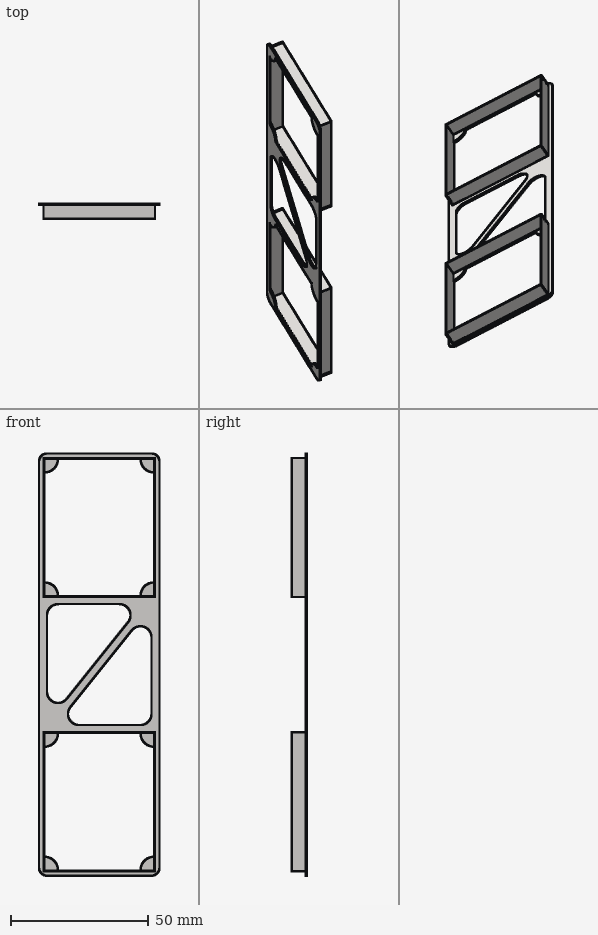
import cadquery as cq
import math

window_width = 40.0
window_height = 50.0
window_pitch = 100.0
border = 2.0
plate_thickness = 0.6
plate_corner_radius = 3.0
collar_wall = 0.4
collar_depth = 5.0
corner_tab_radius = 5.0
web_margin = 3.0
brace_width = 3.0
triangle_corner_radius = 4.0

plate_width = window_width + 2 * border
plate_height = window_pitch + window_height + 2 * border
window_centres = [-window_pitch / 2, window_pitch / 2]
panel_half_width = plate_width / 2 - web_margin
panel_half_height = (window_pitch - window_height) / 2 - web_margin


def prism(sketch, start, depth):
    """Extrude an XZ sketch from Y = start toward -Y."""
    return sketch.extrude(depth).translate((0, start, 0))


def rectangle(width, height, centre_z):
    return cq.Workplane("XZ").center(0, centre_z).rect(width, height)


def make_plate():
    """Flat plate with rounded corners, its front face on Y = 0."""
    plate = prism(rectangle(plate_width, plate_height, 0), plate_thickness, plate_thickness)
    return plate.edges("|Y").fillet(plate_corner_radius)


def make_window(centre_z):
    """Cutter for one window, leaving a quarter-round tab in every corner."""
    window = prism(rectangle(window_width, window_height, centre_z), plate_thickness, plate_thickness)
    window_outline = cq.Workplane("XZ").center(0, centre_z)
    tab_centres = window_outline.rect(window_width, window_height, forConstruction=True)
    tabs = prism(tab_centres.vertices().circle(corner_tab_radius), plate_thickness, plate_thickness)
    return window.cut(tabs)


def make_collar(centre_z):
    """Thin rectangular wall around one window, standing out toward -Y."""
    outer_width = window_width + 2 * collar_wall
    outer_height = window_height + 2 * collar_wall
    outer = prism(rectangle(outer_width, outer_height, centre_z), 0, collar_depth)
    inner = prism(rectangle(window_width, window_height, centre_z), 0, collar_depth)
    return outer.cut(inner)


def make_upper_triangle():
    """Cutter for the rounded triangular opening above the diagonal brace."""
    slope = window_height / window_width
    brace_offset = brace_width / 2 * math.sqrt(1 + slope ** 2)
    left_end_z = brace_offset - slope * panel_half_width
    top_end_x = (panel_half_height - brace_offset) / slope
    corners = [
        (-panel_half_width, panel_half_height),
        (top_end_x, panel_half_height),
        (-panel_half_width, left_end_z),
    ]
    triangle = prism(cq.Workplane("XZ").polyline(corners).close(), plate_thickness, plate_thickness)
    return triangle.edges("|Y").fillet(triangle_corner_radius)


result = make_plate()

upper_triangle = make_upper_triangle()
lower_triangle = upper_triangle.rotate((0, 0, 0), (0, 1, 0), 180)
result = result.cut(upper_triangle).cut(lower_triangle)

for window_z in window_centres:
    result = result.cut(make_window(window_z))
    result = result.union(make_collar(window_z))